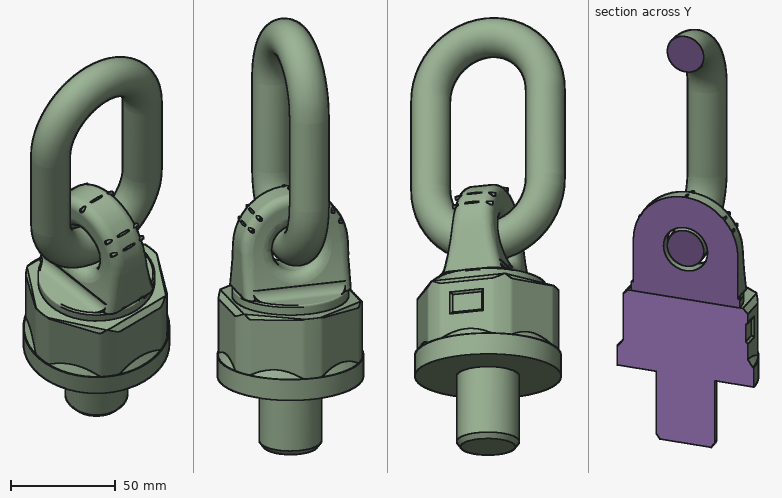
import cadquery as cq
import math

FLANGE_BOTTOM = 35.5
FLANGE_TOP = 46.0
HEX_TOP = 76.2
COLLAR_TOP = 80.9
TOTAL_HEIGHT = 214.5

STUD_RADIUS = 15.0
STUD_CHAMFER_HEIGHT = 2.5
STUD_CHAMFER_DEPTH = 2.0
FLANGE_RADIUS = 35.0
HEX_ACROSS_FLATS = 64.0
HEX_CORNER_RADIUS = 34.5
HEX_EDGE_FILLET = 4.3
HEX_BEVEL = 2.5
HEX_FOOT_HEIGHT = 3.6

RECESS_WIDTH = 16.7
RECESS_HEIGHT = 11.0
RECESS_Z = 63.3
RECESS_DEPTH = 1.0
RECESS_TAPER = 45

COLLAR_RADIUS = 28.0
COLLAR_FILLET = 0.9
EYE_RADIUS = 26.8
EYE_CENTRE_Z = 103.0
EYE_TOP_HALF_WIDTH = 9.7
EYE_SHOULDER_Z = 117.4
EYE_FOOT_HALF_WIDTH = 15.0
EYE_EDGE_FILLET = 4.7
EYE_NECK_HALF_WIDTH = 14.0
EYE_FOOT_FILLET = 4.7
EYE_HOLE_RADIUS = 11.2
EYE_HOLE_Z = 102.3
EYE_HOLE_FILLET = 6.0

RIB_RADIUS = 0.9
RIB_CROWN_RADIUS = 26.2
RIB_END_RADIUS = 24.9
RIB_HALF_LENGTH = 9.9
RIB_TILTS = (-62.5, -47.0, 0.0, 47.0, 62.5)

LINK_WIDTH = 76.5
LINK_WIRE_RADIUS = 9.5
LINK_STRAIGHT = 44.6


def make_tetrahedron(a, b, c, d):
    faces = [
        cq.Face.makeFromWires(cq.Wire.makePolygon([cq.Vector(*corner) for corner in triangle], close=True))
        for triangle in ((a, b, c), (a, b, d), (a, c, d), (b, c, d))
    ]
    return cq.Workplane(cq.Solid.makeSolid(cq.Shell.makeShell(faces)))


def make_hex_bevel():
    """Material cut along the top edge near the +X flat.

    The bevel is full along the flat and runs out along the two neighbouring
    flats towards the +Y and -Y corners.
    """
    flat_x = HEX_ACROSS_FLATS / 2
    corner_y = HEX_ACROSS_FLATS / math.sqrt(3)
    flat_half_length = corner_y / 2
    section = [
        (flat_x - HEX_BEVEL, HEX_TOP),
        (flat_x, HEX_TOP),
        (flat_x, HEX_TOP - HEX_BEVEL),
    ]
    bevel = cq.Workplane("XZ").polyline(section).close().extrude(flat_half_length, both=True)
    runout = make_tetrahedron(
        (0, corner_y, HEX_TOP),
        (flat_x, flat_half_length, HEX_TOP),
        (flat_x, flat_half_length, HEX_TOP - HEX_BEVEL),
        (flat_x - HEX_BEVEL, flat_half_length, HEX_TOP),
    )
    return bevel.union(runout).union(runout.mirror("XZ"))


def make_hexagon():
    height = HEX_TOP - FLANGE_TOP
    across_corners = 2 * HEX_ACROSS_FLATS / math.sqrt(3)
    prism = (
        cq.Workplane("XY", origin=(0, 0, FLANGE_TOP)).transformed(rotate=(0, 0, 90))
        .polygon(6, across_corners).extrude(height)
    )
    trim = cq.Workplane("XY", origin=(0, 0, FLANGE_TOP)).circle(HEX_CORNER_RADIUS).extrude(height)
    bevel = make_hex_bevel()
    hexagon = prism.intersect(trim).edges("|Z").fillet(HEX_EDGE_FILLET)
    return hexagon.cut(bevel).cut(bevel.mirror("YZ"))


def make_foot_cone():
    top_radius = HEX_ACROSS_FLATS / 2
    profile = [
        (0, FLANGE_TOP),
        (HEX_CORNER_RADIUS, FLANGE_TOP),
        (top_radius, FLANGE_TOP + HEX_FOOT_HEIGHT),
        (0, FLANGE_TOP + HEX_FOOT_HEIGHT),
    ]
    return cq.Workplane("XZ").polyline(profile).close().revolve(360, (0, 0), (0, 1))


def make_plate_recess():
    return (
        cq.Workplane("YZ", origin=(-HEX_ACROSS_FLATS / 2, 0, RECESS_Z))
        .rect(RECESS_WIDTH, RECESS_HEIGHT)
        .extrude(RECESS_DEPTH, taper=RECESS_TAPER)
    )


def make_base():
    profile = [
        (0, 0),
        (STUD_RADIUS - STUD_CHAMFER_DEPTH, 0),
        (STUD_RADIUS, STUD_CHAMFER_HEIGHT),
        (STUD_RADIUS, FLANGE_BOTTOM),
        (FLANGE_RADIUS, FLANGE_BOTTOM),
        (FLANGE_RADIUS, FLANGE_TOP),
        (0, FLANGE_TOP),
    ]
    stud = cq.Workplane("XZ").polyline(profile).close().revolve(360, (0, 0), (0, 1))
    return stud.union(make_hexagon()).union(make_foot_cone()).cut(make_plate_recess())


def make_eye_arch():
    """Slab with flared sides, trimmed to an arch and rounded along the arch."""
    crown_z = EYE_CENTRE_Z + EYE_RADIUS
    half_slab = (
        cq.Workplane("YZ")
        .moveTo(0, COLLAR_TOP)
        .lineTo(0, crown_z)
        .lineTo(-EYE_TOP_HALF_WIDTH, crown_z)
        .lineTo(-EYE_TOP_HALF_WIDTH, EYE_SHOULDER_Z)
        .tangentArcPoint((-EYE_FOOT_HALF_WIDTH, COLLAR_TOP), relative=False)
        .close()
        .extrude(EYE_RADIUS, both=True)
    )
    slab = half_slab.union(half_slab.mirror("XZ"))
    arch = (
        cq.Workplane("XZ")
        .moveTo(-EYE_RADIUS, COLLAR_TOP)
        .lineTo(-EYE_RADIUS, EYE_CENTRE_Z)
        .threePointArc((0, crown_z), (EYE_RADIUS, EYE_CENTRE_Z))
        .lineTo(EYE_RADIUS, COLLAR_TOP)
        .close()
        .extrude(EYE_FOOT_HALF_WIDTH, both=True)
    )
    return slab.intersect(arch).edges("(<X or >X) and (not |Y)").fillet(EYE_EDGE_FILLET)


def cut_eye_hole(eye):
    """Round hole along Y, with a wide rounded mouth on both sides."""
    hole = (
        cq.Workplane("XZ", origin=(0, 0, EYE_HOLE_Z)).circle(EYE_HOLE_RADIUS)
        .extrude(EYE_FOOT_HALF_WIDTH, both=True)
    )
    mouth_box = cq.selectors.BoxSelector(
        (-EYE_HOLE_RADIUS, -EYE_FOOT_HALF_WIDTH, EYE_HOLE_Z - EYE_HOLE_RADIUS),
        (EYE_HOLE_RADIUS, EYE_FOOT_HALF_WIDTH, EYE_HOLE_Z + EYE_HOLE_RADIUS),
    )
    return eye.cut(hole).edges(mouth_box).edges("not |Y").fillet(EYE_HOLE_FILLET)


def make_rib(tilt):
    """Thin bowed rib along Y, tilted around the arch, its ends dipping into the rounded edges."""
    end_z = EYE_CENTRE_Z + RIB_END_RADIUS
    path = (
        cq.Workplane("YZ")
        .moveTo(-RIB_HALF_LENGTH, end_z)
        .threePointArc((0, EYE_CENTRE_Z + RIB_CROWN_RADIUS), (RIB_HALF_LENGTH, end_z))
    )
    section_plane = cq.Plane(origin=path.val().startPoint(), normal=path.val().tangentAt(0))
    rib = cq.Workplane(section_plane).circle(RIB_RADIUS).sweep(path)
    return rib.rotate((0, 0, EYE_CENTRE_Z), (0, 1, EYE_CENTRE_Z), tilt)


def make_foot_flare():
    """Concave flare around the foot of the eye, trimmed to the flat top of the collar."""
    rim_radius = COLLAR_RADIUS - COLLAR_FILLET
    trim_height = COLLAR_TOP + EYE_FOOT_FILLET - HEX_TOP
    foot_length = 2 * (EYE_RADIUS - COLLAR_FILLET)
    plate_width = 4 * COLLAR_RADIUS
    foot = (
        cq.Workplane("XY", origin=(0, 0, COLLAR_TOP))
        .rect(foot_length, 2 * EYE_NECK_HALF_WIDTH)
        .extrude(2 * EYE_FOOT_FILLET)
        .edges("|Z").fillet(EYE_EDGE_FILLET)
    )
    plate = (
        cq.Workplane("XY", origin=(0, 0, HEX_TOP))
        .rect(plate_width, plate_width).extrude(COLLAR_TOP - HEX_TOP)
    )
    seam = cq.selectors.BoxSelector(
        (-COLLAR_RADIUS, -COLLAR_RADIUS, COLLAR_TOP - COLLAR_FILLET),
        (COLLAR_RADIUS, COLLAR_RADIUS, COLLAR_TOP + COLLAR_FILLET),
    )
    flared = plate.union(foot).edges(seam).fillet(EYE_FOOT_FILLET)
    trim = cq.Workplane("XY", origin=(0, 0, HEX_TOP)).circle(rim_radius).extrude(trim_height)
    between_ends = (
        cq.Workplane("XY", origin=(0, 0, HEX_TOP))
        .rect(foot_length, plate_width).extrude(trim_height)
    )
    return flared.intersect(trim).intersect(between_ends)


def make_swivel_eye():
    collar = (
        cq.Workplane("XY", origin=(0, 0, HEX_TOP)).circle(COLLAR_RADIUS)
        .extrude(COLLAR_TOP - HEX_TOP)
        .faces(">Z").edges().fillet(COLLAR_FILLET)
    )
    eye = cut_eye_hole(make_eye_arch()).union(make_foot_flare()).union(collar)
    for tilt in RIB_TILTS:
        eye = eye.union(make_rib(tilt))
    return eye


def make_link():
    bend = LINK_WIDTH / 2 - LINK_WIRE_RADIUS
    top_z = TOTAL_HEIGHT - LINK_WIDTH / 2
    bottom_z = top_z - LINK_STRAIGHT
    path = (
        cq.Workplane("YZ")
        .moveTo(bend, bottom_z)
        .lineTo(bend, top_z)
        .threePointArc((0, top_z + bend), (-bend, top_z))
        .lineTo(-bend, bottom_z)
        .threePointArc((0, bottom_z - bend), (bend, bottom_z))
        .close()
    )
    return cq.Workplane("XY", origin=(0, bend, bottom_z)).circle(LINK_WIRE_RADIUS).sweep(path)


base = make_base()
swivel_eye = make_swivel_eye()
link = make_link()

result = cq.Compound.makeCompound([base.val(), swivel_eye.val(), link.val()])